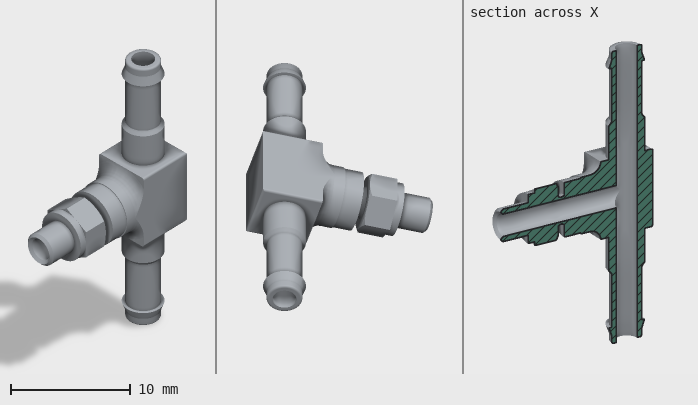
import cadquery as cq
import math

total_height = 26.6
total_depth = 15.1
bore_diameter = 2.0

block_width = 5.2
block_height = 7.1
block_rounding = 0.2

tube_diameter = 3.0
barb_diameter = 3.6
shoulder_top = 6.57
shoulder_taper = 0.37
barb_base = 11.75
barb_length = 0.8
barb_tip_rounding = 0.19

branch_fillet = 1.0
land_diameter = block_width
land_end = 4.58
collar_diameter = 5.0
collar_end = 6.2
neck_diameter = 2.5
neck_flare = 0.13
hex_start = 6.78
hex_end = 9.15
hex_flats = 4.5
hex_bevel_angle = 30.0
flange_diameter = hex_flats
flange_end = 9.8
spigot_bevel = 0.253

half_width = block_width / 2
branch_end = total_depth - half_width
top = total_height / 2
tube_radius = tube_diameter / 2
bore_radius = bore_diameter / 2
hex_corners = hex_flats / math.cos(math.pi / 6)


def along_branch(station):
    """XZ workplane at a distance along -Y, facing outward."""
    return cq.Workplane("XZ", origin=(0, -station, 0))


def make_block():
    """Block rounded at both ends along every edge except those on the branch side."""
    block = cq.Workplane("XY").box(block_width, block_width, block_height)
    for end in (">Z", "<Z"):
        block = block.faces(end).edges(">Y or >X or <X").fillet(block_rounding)
    return block


def make_barb():
    """Stepped tube from the part centre up to the top end."""
    barb_radius = barb_diameter / 2
    barb = (
        cq.Workplane("XZ")
        .lineTo(barb_radius, 0)
        .lineTo(barb_radius, shoulder_top)
        .lineTo(tube_radius, shoulder_top + shoulder_taper)
        .lineTo(tube_radius, barb_base)
        .lineTo(barb_radius, barb_base)
        .lineTo(tube_radius, barb_base + barb_length)
        .lineTo(tube_radius, top)
        .lineTo(0, top)
        .close()
        .revolve(360, (0, 0, 0), (0, 1, 0))
    )
    return barb.faces(">Z").edges().fillet(barb_tip_rounding)


def make_branch_root():
    """Flared root that blends the round land into the block, trimmed to the block outline."""
    land_radius = land_diameter / 2
    fillet_end = half_width + branch_fillet
    arc_offset = branch_fillet * (1 - math.sqrt(0.5))
    root = (
        cq.Workplane("XY")
        .lineTo(land_radius + branch_fillet, 0)
        .lineTo(land_radius + branch_fillet, -half_width)
        .threePointArc(
            (land_radius + arc_offset, -half_width - arc_offset),
            (land_radius, -fillet_end),
        )
        .lineTo(land_radius, -land_end)
        .lineTo(0, -land_end)
        .close()
        .revolve(360, (0, 0, 0), (0, 1, 0))
    )
    envelope = along_branch(half_width).rect(block_width, block_height).extrude(land_end)
    return root.intersect(envelope)


def make_hex():
    """Hexagon with corners up and down, bevelled on the side facing the block."""
    length = hex_end - hex_start
    bevel_depth = (hex_corners - hex_flats) / 2 * math.tan(math.radians(hex_bevel_angle))
    prism = along_branch(hex_start).polygon(6, hex_corners).extrude(length)
    prism = prism.rotate((0, 0, 0), (0, 1, 0), 90)
    bevel_cone = (
        cq.Workplane("XY")
        .moveTo(0, -hex_start)
        .lineTo(hex_flats / 2, -hex_start)
        .lineTo(hex_corners / 2, -hex_start - bevel_depth)
        .lineTo(hex_corners / 2, -hex_end)
        .lineTo(0, -hex_end)
        .close()
        .revolve(360, (0, 0, 0), (0, 1, 0))
    )
    return prism.intersect(bevel_cone)


def make_neck():
    """Slim waisted neck, one shallow arc from the collar to the hexagon."""
    waist_radius = neck_diameter / 2
    end_radius = waist_radius + neck_flare
    waist_station = (collar_end + hex_start) / 2
    return (
        cq.Workplane("XY")
        .moveTo(0, -land_end)
        .lineTo(end_radius, -land_end)
        .lineTo(end_radius, -collar_end)
        .threePointArc((waist_radius, -waist_station), (end_radius, -hex_start))
        .lineTo(0, -hex_start)
        .close()
        .revolve(360, (0, 0, 0), (0, 1, 0))
    )


def make_spigot():
    flange = along_branch(hex_end).circle(flange_diameter / 2).extrude(flange_end - hex_end)
    spigot = along_branch(hex_end).circle(tube_radius).extrude(branch_end - hex_end)
    return flange.union(spigot.faces("<Y").chamfer(spigot_bevel))


def make_branch_bore():
    """Bore from the barb axis to the spigot tip, with a bevelled mouth."""
    bore = along_branch(0).circle(bore_radius).extrude(branch_end)
    mouth = cq.Workplane(
        cq.Solid.makeCone(
            bore_radius + spigot_bevel,
            bore_radius,
            spigot_bevel,
            pnt=cq.Vector(0, -branch_end, 0),
            dir=cq.Vector(0, 1, 0),
        )
    )
    return bore.union(mouth)


barb = make_barb()
collar = along_branch(land_end).circle(collar_diameter / 2).extrude(collar_end - land_end)
main_bore = cq.Workplane("XY").workplane(offset=-top).circle(bore_radius).extrude(total_height)

result = (
    make_block()
    .union(barb)
    .union(barb.mirror("XY"))
    .union(make_branch_root())
    .union(collar)
    .union(make_neck())
    .union(make_hex())
    .union(make_spigot())
    .cut(main_bore)
    .cut(make_branch_bore())
)